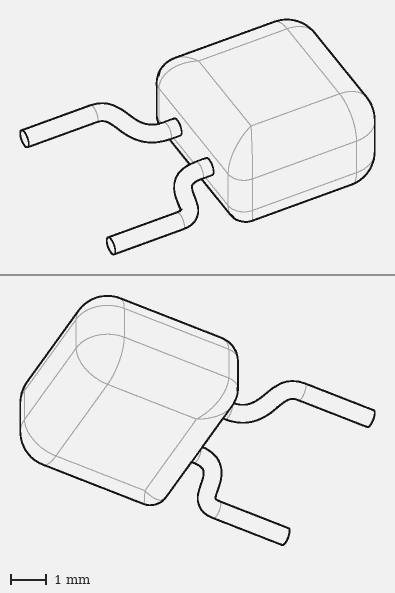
import cadquery as cq

total_length = 8.81
body_width = 5.075
body_length = 4.81
body_height = 3.18
large_radius = 0.995
corner_radius = 0.5

lead_diameter = 0.51
lead_pitch = 5.08
stub_pitch = 1.88
stub_length = 0.335
bend_length = 1.47

bend_side_fraction = 0.47
bend_length_fraction = 0.58

front_y = -body_length / 2
tip_y = body_length / 2 - total_length


def make_body():
    """Rounded block whose two front corners are tighter than the rear ones."""
    block = cq.Workplane("XY").box(body_width, body_length, body_height)
    block = block.edges("|Z and >Y").fillet(large_radius)
    block = block.faces("<Z or >Z").edges().fillet(large_radius)
    return block.edges("|Z and <Y").fillet(corner_radius)


def make_lead(side):
    """Round wire lead on the left (side = -1) or right (side = +1)."""
    stub_x = side * stub_pitch / 2
    tip_x = side * lead_pitch / 2
    bend_start_y = front_y - stub_length
    bend_end_y = bend_start_y - bend_length
    bend_middle = (
        stub_x + bend_side_fraction * (tip_x - stub_x),
        bend_start_y - bend_length_fraction * bend_length,
    )
    path = (
        cq.Workplane("XY")
        .moveTo(stub_x, front_y)
        .lineTo(stub_x, bend_start_y)
        .spline(
            [bend_middle, (tip_x, bend_end_y)],
            tangents=[(0, -1), (0, -1)],
            includeCurrent=True,
        )
        .lineTo(tip_x, tip_y)
    )
    section = cq.Workplane("XZ", origin=(stub_x, front_y, 0)).circle(lead_diameter / 2)
    return section.sweep(path)


body = make_body()
leads = [make_lead(side) for side in (-1, 1)]

result = cq.Compound.makeCompound([body.val(), *[lead.val() for lead in leads]])